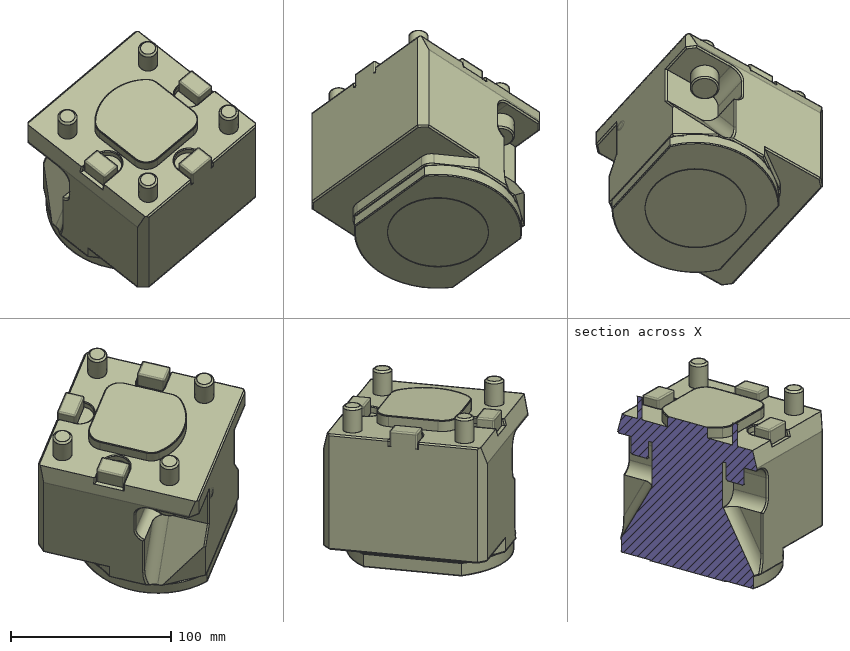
import cadquery as cq
import math

BLOCK_WIDTH = 105.0
LEFT_X = -58.0
RIGHT_X = LEFT_X + BLOCK_WIDTH
HALF_DEPTH = 53.0
BLOCK_BOTTOM_Z = -76.75
CORNER_CHAMFER = 5.0
EDGE_CHAMFER = 1.0
SLOPE_INSET = 3.25
SLOPE_HEIGHT = 11.5

FOOT_HALF_WIDTH = 42.0
FOOT_HEIGHT = 9.0
FLANGE_AXIS_X = LEFT_X + FOOT_HALF_WIDTH
FOOT_BOTTOM_Z = BLOCK_BOTTOM_Z - FOOT_HEIGHT
FOOT_FLAT_HALF_DEPTH = 34.0
FOOT_SIDE_ANGLE = 35.0
FOOT_CORNER_RADIUS = 9.0

FLANGE_DIAMETER = 104.5
FLANGE_RIGHT_INSET = 0.5
FLANGE_THICKNESS = 8.5
FLANGE_RIGHT_X = FLANGE_AXIS_X + FOOT_HALF_WIDTH - FLANGE_RIGHT_INSET
FLANGE_BOTTOM_Z = FOOT_BOTTOM_Z - FLANGE_THICKNESS
FLANGE_CHAMFER = 0.6
SPIGOT_DIAMETER = 63.0
SPIGOT_HEIGHT = 0.5

SCREW_PITCH_X = 70.0
SCREW_PITCH_Y = 72.5
SCREW_DIAMETER = 12.0
SCREW_LENGTH = 30.0
SCREW_CHAMFER = 1.3
HEAD_DIAMETER = 18.0
HEAD_HEIGHT = 12.0
HEAD_CHAMFER = 1.0

POCKET_TOP_Z = -13.75
POCKET_HEIGHT = 30.75
POCKET_RIGHT_X = -18.0
POCKET_FLOOR_Y = 27.0
POCKET_RADIUS = 8.5
RAMP_ANGLE = 30.0
RAMP_WALL_X = -23.75
RAMP_RADIUS = 8.0
POCKET_BOTTOM_Z = POCKET_TOP_Z - POCKET_HEIGHT

BOSS_HEIGHT = 7.25
BOSS_RADIUS = 33.25
BOSS_HALF_DEPTH = 26.0
BOSS_RIGHT_X = 23.75
BOSS_CORNER_RADIUS = 10.0
BOSS_CHAMFER = 0.5

KEY_WIDTH = 18.0
KEY_LENGTH = 12.0
KEY_HEIGHT = 5.9
KEY_EDGE_RADIUS = 1.0
KEY_SLOT_DEPTH = 4.4
KEY_SLOT_RIM_CHAMFER = 0.6
KEY_SLOT_MOUTH_CHAMFER = 1.0
KEY_END_Y = 48.4

PLUG_Y = 21.75
PLUG_Z = -21.0
PLUG_TIP_DIAMETER = 5.2
PLUG_BASE_DIAMETER = 7.0
PLUG_PROTRUSION = 0.25

OVERCUT = 20.0
SELECT_MARGIN = 0.1


def both_sides(shape):
    """The shape together with its mirror image across the XZ plane."""
    return shape.union(shape.mirror("XZ"))


def make_block():
    """Block down to the foot bottom, with chamfered corners and sloping front and back plate edges."""
    block = (
        cq.Workplane("XY", origin=(0, 0, FOOT_BOTTOM_Z))
        .moveTo((LEFT_X + RIGHT_X) / 2, 0)
        .rect(BLOCK_WIDTH, 2 * HALF_DEPTH)
        .extrude(-FOOT_BOTTOM_Z)
        .edges("|Z").chamfer(CORNER_CHAMFER)
        .faces(">Z").edges("|Y").chamfer(EDGE_CHAMFER)
    )
    slope = (
        cq.Workplane("YZ", origin=(LEFT_X, 0, 0))
        .moveTo(-HALF_DEPTH, -SLOPE_HEIGHT)
        .lineTo(-HALF_DEPTH + SLOPE_INSET, 0)
        .lineTo(-HALF_DEPTH, 0)
        .close()
        .extrude(BLOCK_WIDTH)
    )
    return block.cut(both_sides(slope))


def make_pocket():
    """Screw pocket on the front side: a rounded recess running out into a ramp."""
    left = LEFT_X - OVERCUT
    recess = (
        cq.Workplane("XZ", origin=(0, -POCKET_FLOOR_Y, 0))
        .moveTo((left + POCKET_RIGHT_X) / 2, (POCKET_TOP_Z + POCKET_BOTTOM_Z) / 2)
        .rect(POCKET_RIGHT_X - left, POCKET_HEIGHT)
        .extrude(HALF_DEPTH - POCKET_FLOOR_Y + OVERCUT)
        .edges("|Y and >X").fillet(POCKET_RADIUS)
    )
    ramp_run = -FOOT_BOTTOM_Z + POCKET_BOTTOM_Z + OVERCUT
    ramp_end_y = -POCKET_FLOOR_Y - ramp_run * math.tan(math.radians(RAMP_ANGLE))
    ramp = (
        cq.Workplane("YZ", origin=(left, 0, 0))
        .moveTo(-POCKET_FLOOR_Y, POCKET_BOTTOM_Z)
        .lineTo(ramp_end_y, POCKET_BOTTOM_Z - ramp_run)
        .lineTo(ramp_end_y - OVERCUT, POCKET_BOTTOM_Z - ramp_run)
        .lineTo(ramp_end_y - OVERCUT, POCKET_BOTTOM_Z + POCKET_RADIUS)
        .lineTo(-POCKET_FLOOR_Y, POCKET_BOTTOM_Z + POCKET_RADIUS)
        .close()
        .extrude(RAMP_WALL_X - left)
    )
    wall_bottom_edge = cq.selectors.NearestToPointSelector(
        (RAMP_WALL_X, (ramp_end_y - POCKET_FLOOR_Y) / 2, POCKET_BOTTOM_Z - ramp_run / 2)
    )
    ramp = ramp.edges(wall_bottom_edge).fillet(RAMP_RADIUS)
    return recess.union(ramp)


def chamfer_pocket_mouth(block):
    """Break the rim of the front pocket on the front face, the left face and their corner."""
    margin = SELECT_MARGIN
    top_z = POCKET_TOP_Z + margin
    front_rim = cq.selectors.BoxSelector(
        (LEFT_X, -HALF_DEPTH - margin, FOOT_BOTTOM_Z + margin),
        (POCKET_RIGHT_X + margin, -HALF_DEPTH + margin, top_z),
    )
    left_rim = cq.selectors.BoxSelector(
        (LEFT_X - margin, -HALF_DEPTH + CORNER_CHAMFER + margin, FOOT_BOTTOM_Z + margin),
        (LEFT_X + margin, -POCKET_FLOOR_Y + margin, top_z),
    )
    corner_rim = cq.selectors.NearestToPointSelector(
        (LEFT_X + CORNER_CHAMFER / 2, -HALF_DEPTH + CORNER_CHAMFER / 2, POCKET_TOP_Z)
    )
    return block.edges(front_rim + left_rim + corner_rim).chamfer(EDGE_CHAMFER)


def make_foot():
    """Narrower foot, with slanting sides and rounded right corners."""
    side_run = (HALF_DEPTH - FOOT_FLAT_HALF_DEPTH) / math.tan(math.radians(FOOT_SIDE_ANGLE))
    half_side = FOOT_HALF_WIDTH - side_run
    half_outline = [
        (FOOT_HALF_WIDTH, FOOT_FLAT_HALF_DEPTH),
        (half_side, HALF_DEPTH),
        (-half_side, HALF_DEPTH),
        (-FOOT_HALF_WIDTH, FOOT_FLAT_HALF_DEPTH),
    ]
    outline = half_outline + [(x, -y) for x, y in reversed(half_outline)]
    return (
        cq.Workplane("XY", origin=(FLANGE_AXIS_X, 0, FOOT_BOTTOM_Z))
        .polyline(outline).close()
        .extrude(FOOT_HEIGHT + EDGE_CHAMFER)
        .edges("|Z and >X").fillet(FOOT_CORNER_RADIUS)
    )


def make_envelope():
    """Outer limits of the body: the foot, the block underside and the slanting left corners."""
    reach = BLOCK_WIDTH / 2
    upper_block = (
        cq.Workplane("XY", origin=((LEFT_X + RIGHT_X) / 2, 0, BLOCK_BOTTOM_Z))
        .rect(BLOCK_WIDTH, 2 * HALF_DEPTH)
        .extrude(-BLOCK_BOTTOM_Z)
        .edges("|Z").chamfer(CORNER_CHAMFER)
        .faces("<Z").edges().chamfer(EDGE_CHAMFER)
    )
    side_slope = math.tan(math.radians(FOOT_SIDE_ANGLE))
    corner_cut = (
        cq.Workplane("XY", origin=(0, 0, FOOT_BOTTOM_Z))
        .moveTo(LEFT_X - OVERCUT, -FOOT_FLAT_HALF_DEPTH + OVERCUT * side_slope)
        .lineTo(LEFT_X + reach, -FOOT_FLAT_HALF_DEPTH - reach * side_slope)
        .lineTo(LEFT_X - OVERCUT, -FOOT_FLAT_HALF_DEPTH - reach * side_slope)
        .close()
        .extrude((POCKET_TOP_Z + POCKET_BOTTOM_Z) / 2 - FOOT_BOTTOM_Z)
    )
    return upper_block.cut(both_sides(corner_cut)).union(make_foot())


def make_body():
    """Block with both screw pockets, trimmed to the outer limits."""
    half_space = (
        cq.Workplane("XY", origin=(0, 0, FOOT_BOTTOM_Z))
        .moveTo(0, -HALF_DEPTH)
        .rect(4 * HALF_DEPTH, 2 * HALF_DEPTH)
        .extrude(-FOOT_BOTTOM_Z)
    )
    front_half = chamfer_pocket_mouth(make_block().cut(make_pocket())).intersect(half_space)
    body = both_sides(front_half).intersect(make_envelope()).clean()
    return body.faces("<Z").edges().chamfer(EDGE_CHAMFER)


def make_flange():
    """Round flange cut by two flats, with the spigot below."""
    flange = (
        cq.Workplane("XY", origin=(FLANGE_AXIS_X, 0, FLANGE_BOTTOM_Z))
        .circle(FLANGE_DIAMETER / 2)
        .extrude(FLANGE_THICKNESS)
    )
    limits = (
        cq.Workplane("XY", origin=((LEFT_X + FLANGE_RIGHT_X) / 2, 0, FLANGE_BOTTOM_Z))
        .rect(FLANGE_RIGHT_X - LEFT_X, FLANGE_DIAMETER)
        .extrude(FLANGE_THICKNESS)
    )
    spigot = (
        cq.Workplane("XY", origin=(FLANGE_AXIS_X, 0, FLANGE_BOTTOM_Z))
        .circle(SPIGOT_DIAMETER / 2)
        .extrude(-SPIGOT_HEIGHT)
    )
    flange = flange.intersect(limits).faces("<Z").edges().chamfer(FLANGE_CHAMFER)
    return flange.union(spigot)


def make_stud(x, y):
    """Screw shank with its tip standing above the plate."""
    return (
        cq.Workplane("XY", origin=(x, y, POCKET_TOP_Z))
        .circle(SCREW_DIAMETER / 2)
        .extrude(SCREW_LENGTH)
        .faces(">Z").chamfer(SCREW_CHAMFER)
    )


def make_screw(x, y):
    """Cap screw with its head under the plate."""
    head = (
        cq.Workplane("XY", origin=(x, y, POCKET_TOP_Z))
        .circle(HEAD_DIAMETER / 2)
        .extrude(-HEAD_HEIGHT)
        .faces("<Z").chamfer(HEAD_CHAMFER)
    )
    return make_stud(x, y).union(head)


def make_boss():
    """Raised boss with a bowed left end and rounded corners."""
    arc_start_x = -math.sqrt(BOSS_RADIUS**2 - BOSS_HALF_DEPTH**2)
    return (
        cq.Workplane("XY")
        .moveTo(BOSS_RIGHT_X, BOSS_HALF_DEPTH)
        .lineTo(arc_start_x, BOSS_HALF_DEPTH)
        .threePointArc((-BOSS_RADIUS, 0), (arc_start_x, -BOSS_HALF_DEPTH))
        .lineTo(BOSS_RIGHT_X, -BOSS_HALF_DEPTH)
        .close()
        .extrude(BOSS_HEIGHT)
        .edges("|Z").fillet(BOSS_CORNER_RADIUS)
        .faces(">Z").edges().chamfer(BOSS_CHAMFER)
    )


def cut_key_slot(body, angle, key_end):
    """Cut a round-ended key slot running out along +X turned by the angle, with a chamfered rim."""
    half_width = KEY_WIDTH / 2
    margin = SELECT_MARGIN
    round_x = key_end - KEY_LENGTH
    slot = (
        cq.Workplane("XY", origin=(round_x, 0, -KEY_SLOT_DEPTH))
        .moveTo(0, half_width)
        .threePointArc((-half_width, 0), (0, -half_width))
        .lineTo(OVERCUT, -half_width)
        .lineTo(OVERCUT, half_width)
        .close()
        .extrude(KEY_SLOT_DEPTH)
    )
    top_rim = cq.selectors.BoxSelector(
        (round_x - half_width - margin, -half_width - margin, -margin),
        (key_end, half_width + margin, margin),
    )
    outer_rim = cq.selectors.BoxSelector(
        (key_end - EDGE_CHAMFER, -half_width - margin, -KEY_SLOT_DEPTH + margin),
        (key_end + OVERCUT, half_width + margin, margin),
    )
    turned = body.rotate((0, 0, 0), (0, 0, 1), -angle).cut(slot)
    turned = turned.edges(outer_rim - top_rim).chamfer(KEY_SLOT_MOUTH_CHAMFER)
    turned = turned.edges(top_rim).chamfer(KEY_SLOT_RIM_CHAMFER)
    return turned.rotate((0, 0, 0), (0, 0, 1), angle)


def make_key(angle, key_end):
    """Rectangular key standing on the slot floor, its outer face at the given distance."""
    return (
        cq.Workplane("XY", origin=(key_end - KEY_LENGTH / 2, 0, -KEY_SLOT_DEPTH))
        .rect(KEY_LENGTH, KEY_WIDTH)
        .extrude(KEY_SLOT_DEPTH + KEY_HEIGHT)
        .edges("|Z or >Z").fillet(KEY_EDGE_RADIUS)
        .rotate((0, 0, 0), (0, 0, 1), angle)
    )


def make_plug():
    """Flat cone standing slightly out of the left face."""
    return (
        cq.Workplane("YZ", origin=(LEFT_X, PLUG_Y, PLUG_Z))
        .circle(PLUG_BASE_DIAMETER / 2)
        .workplane(offset=-PLUG_PROTRUSION)
        .circle(PLUG_TIP_DIAMETER / 2)
        .loft()
    )


key_places = [(-90, KEY_END_Y), (0, RIGHT_X), (90, KEY_END_Y)]

result = make_body()
for key_angle, key_distance in key_places:
    result = cut_key_slot(result, key_angle, key_distance)
for key_angle, key_distance in key_places:
    result = result.union(make_key(key_angle, key_distance))

for side in (-1, 1):
    result = result.union(make_screw(-SCREW_PITCH_X / 2, side * SCREW_PITCH_Y / 2))
    result = result.union(make_stud(SCREW_PITCH_X / 2, side * SCREW_PITCH_Y / 2))

result = result.union(make_flange()).union(make_boss()).union(make_plug())